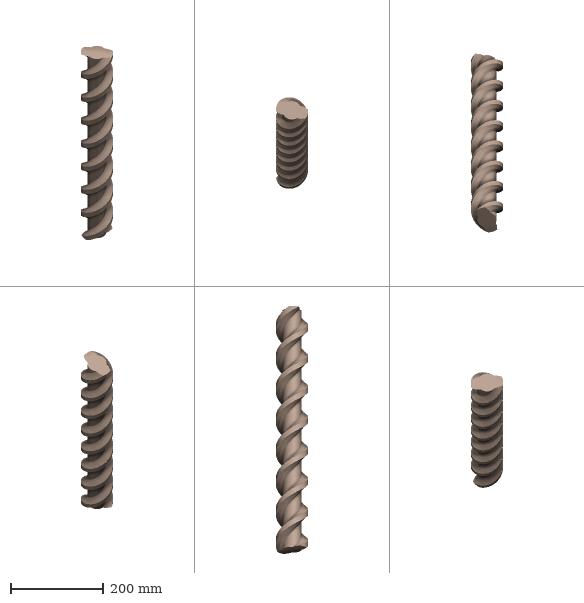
import cadquery as cq
import math

length = 544.5
outer_radius = 35.1
core_radius = 20.5
flank_half_width = 14.0
shoulder_radius = 26.5
crest_half_width = 10.5
twist_angle = 1400.0
lobe_count = 2
bottom_lobe_angle = 90.0

root_angle = math.degrees(math.asin(flank_half_width / core_radius))
shoulder_angle = math.degrees(math.asin(flank_half_width / shoulder_radius))
crest_angle = math.degrees(math.asin(crest_half_width / outer_radius))
lobe_spacing = 360.0 / lobe_count


def polar(radius, angle):
    """Point at a radius and an angle in degrees."""
    return (radius * math.cos(math.radians(angle)), radius * math.sin(math.radians(angle)))


def section():
    """Round core with equally spaced, taper-sided lobes."""
    outline = cq.Workplane("XY").moveTo(*polar(core_radius, bottom_lobe_angle - root_angle))
    for index in range(lobe_count):
        centre = bottom_lobe_angle + index * lobe_spacing
        next_centre = centre + lobe_spacing

        outline = outline.lineTo(*polar(shoulder_radius, centre - shoulder_angle))
        outline = outline.lineTo(*polar(outer_radius, centre - crest_angle))
        outline = outline.threePointArc(
            polar(outer_radius, centre),
            polar(outer_radius, centre + crest_angle),
        )
        outline = outline.lineTo(*polar(shoulder_radius, centre + shoulder_angle))
        outline = outline.lineTo(*polar(core_radius, centre + root_angle))

        outline = outline.threePointArc(
            polar(core_radius, (centre + next_centre) / 2),
            polar(core_radius, next_centre - root_angle),
        )
    return outline.close()


result = section().twistExtrude(length, twist_angle)